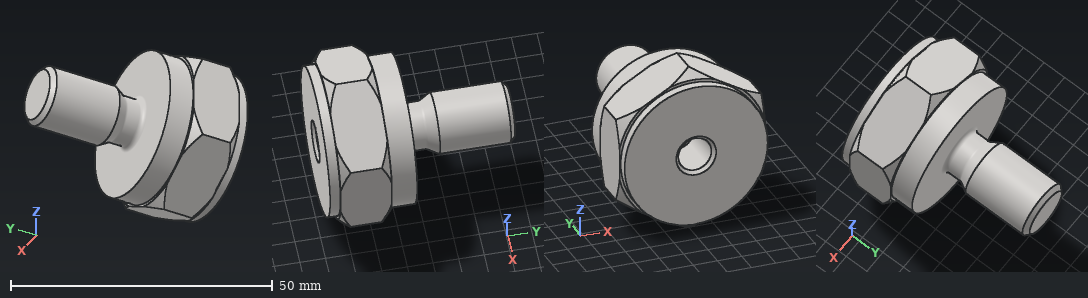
import cadquery as cq
import math

TOTAL_LENGTH = 38.0

COLLAR_DIAMETER = 29.5
FRONT_COLLAR_LENGTH = 2.0
HEX_ACROSS_FLATS = 30.0
HEX_LENGTH = 10.0
HEX_END_DIAMETER = 30.7
REAR_COLLAR_LENGTH = 5.0

STUD_DIAMETER = 12.0
STUD_CHAMFER = 1.0
NECK_DIAMETER = 9.4
UNDERCUT_LENGTH = 6.15
UNDERCUT_CONE_ANGLE = 30.0
NECK_FILLET = 1.0

HOLE_DIAMETER = 6.8
HOLE_MOUTH_DIAMETER = 8.2
HOLE_DEPTH = 10.0
DRILL_POINT_ANGLE = 118.0

hex_front = FRONT_COLLAR_LENGTH
hex_back = hex_front + HEX_LENGTH
head_back = hex_back + REAR_COLLAR_LENGTH
undercut_back = head_back + UNDERCUT_LENGTH

collar_radius = COLLAR_DIAMETER / 2
stud_radius = STUD_DIAMETER / 2
neck_radius = NECK_DIAMETER / 2


def revolve_profile(points):
    """Revolve a closed (radius, y) outline about the Y axis."""
    return cq.Workplane("XY").polyline(points).close().revolve(360, (0, 0, 0), (0, 1, 0))


def make_collars():
    return revolve_profile([(0, 0), (collar_radius, 0), (collar_radius, head_back), (0, head_back)])


def make_hexagon():
    """Hexagon with two corners on the Z axis, its corners bevelled at both ends."""
    corner_radius = HEX_ACROSS_FLATS / math.sqrt(3)
    end_radius = HEX_END_DIAMETER / 2
    bevel = corner_radius - end_radius
    corners = []
    for index in range(6):
        angle = math.radians(90 + 60 * index)
        corners.append((corner_radius * math.cos(angle), corner_radius * math.sin(angle)))
    prism = (
        cq.Workplane("XZ", origin=(0, hex_front, 0))
        .polyline(corners)
        .close()
        .extrude(-HEX_LENGTH)
    )
    envelope = revolve_profile([
        (0, hex_front),
        (end_radius, hex_front),
        (corner_radius, hex_front + bevel),
        (corner_radius, hex_back - bevel),
        (end_radius, hex_back),
        (0, hex_back),
    ])
    return prism.intersect(envelope)


def make_stud():
    """Chamfered stud with a neck that flares at the head and blends into a cone."""
    cone_angle = math.radians(UNDERCUT_CONE_ANGLE)
    cone_length = (stud_radius - neck_radius) / math.tan(cone_angle)
    cone_corner = undercut_back - cone_length
    tangent_length = NECK_FILLET * math.tan(cone_angle / 2)
    blend_center = (neck_radius + NECK_FILLET, cone_corner - tangent_length)
    flare_center = (neck_radius + NECK_FILLET, head_back + NECK_FILLET)

    def on_arc(center, angle):
        return (center[0] - NECK_FILLET * math.cos(angle), center[1] + NECK_FILLET * math.sin(angle))

    return (
        cq.Workplane("XY")
        .moveTo(0, head_back)
        .lineTo(neck_radius + NECK_FILLET, head_back)
        .threePointArc(on_arc(flare_center, -math.pi / 4), on_arc(flare_center, 0))
        .lineTo(*on_arc(blend_center, 0))
        .threePointArc(on_arc(blend_center, cone_angle / 2), on_arc(blend_center, cone_angle))
        .lineTo(stud_radius, undercut_back)
        .lineTo(stud_radius, TOTAL_LENGTH - STUD_CHAMFER)
        .lineTo(stud_radius - STUD_CHAMFER, TOTAL_LENGTH)
        .lineTo(0, TOTAL_LENGTH)
        .close()
        .revolve(360, (0, 0, 0), (0, 1, 0))
    )


def make_hole():
    """Countersunk hole with a conical drill point."""
    hole_radius = HOLE_DIAMETER / 2
    mouth_radius = HOLE_MOUTH_DIAMETER / 2
    countersink_depth = mouth_radius - hole_radius
    point_length = hole_radius / math.tan(math.radians(DRILL_POINT_ANGLE / 2))
    return revolve_profile([
        (0, 0),
        (mouth_radius, 0),
        (hole_radius, countersink_depth),
        (hole_radius, HOLE_DEPTH),
        (0, HOLE_DEPTH + point_length),
    ])


part = make_collars().union(make_hexagon()).union(make_stud()).cut(make_hole())

result = part.translate((0, -TOTAL_LENGTH / 2, 0))